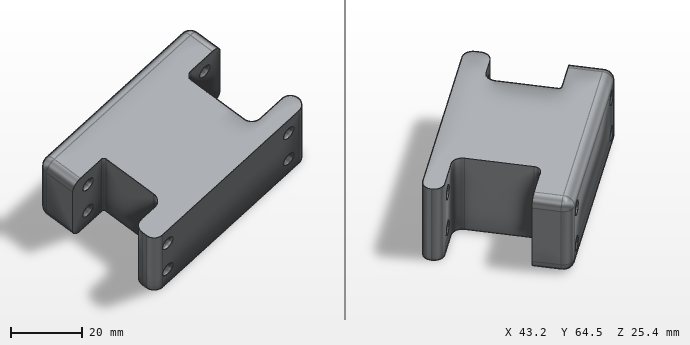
import cadquery as cq

depth = 43.15
length = 64.5
height = 25.4

plate_end = 63.55
flange_start = 1.05

low_plate_thickness = 13.1
low_flange_thickness = 8.0
low_floor = 13.0
low_plate_corner_radius = 0.85

high_plate_thickness = 11.55
high_flange_thickness = 6.3
high_floor = 49.05
high_plate_corner_radius = 2.2

round_radius = 3.2
high_tip_radius = 3.1

hole_diameter = 4.4
hole_spacing_y = 50.7
hole_spacing_z = height / 2


def prism(outline):
    """Extrude an XY outline over the full height, centred on Z = 0."""
    return outline.extrude(height / 2, both=True)


def box(x_start, x_end, y_start, y_end):
    width = x_end - x_start
    span = y_end - y_start
    return prism(cq.Workplane("XY").center(x_start, y_start).rect(width, span, centered=False))


def round_upright_edge(body, x, y, radius):
    """Fillet the vertical edge that passes through (x, y)."""
    edge = cq.selectors.NearestToPointSelector((x, y, 0))
    return body.edges("|Z").edges(edge).fillet(radius)


def make_plate():
    """Front plate, rounded around its outer face and along its ends."""
    thickest = max(low_plate_thickness, high_plate_thickness)
    plate = box(0, thickest, 0, plate_end)
    plate = plate.edges("<X or |X").fillet(round_radius)
    step = box(high_plate_thickness, thickest, high_floor, plate_end)
    return plate.cut(step)


def make_web_and_flange():
    """Web between the notches joined to the back flange, with rounded corners."""
    web_x = round_radius
    low_x = depth - low_flange_thickness
    high_x = depth - high_flange_thickness
    outline = (
        cq.Workplane("XY")
        .moveTo(web_x, low_floor)
        .lineTo(low_x, low_floor)
        .lineTo(low_x, flange_start)
        .lineTo(depth, flange_start)
        .lineTo(depth, length)
        .lineTo(high_x, length)
        .lineTo(high_x, high_floor)
        .lineTo(web_x, high_floor)
        .close()
    )
    body = prism(outline)
    for x, y, radius in (
        (low_x, low_floor, round_radius),
        (low_x, flange_start, round_radius),
        (depth, flange_start, round_radius),
        (high_x, high_floor, round_radius),
        (high_x, length, high_tip_radius),
        (depth, length, high_tip_radius),
    ):
        body = round_upright_edge(body, x, y, radius)
    return body


def make_holes():
    """Four bores along X through both the plate and the flange."""
    return (
        cq.Workplane("YZ")
        .center(plate_end / 2, 0)
        .rect(hole_spacing_y, hole_spacing_z, forConstruction=True)
        .vertices()
        .circle(hole_diameter / 2)
        .extrude(depth)
    )


body = make_plate().union(make_web_and_flange())
body = round_upright_edge(body, low_plate_thickness, low_floor, low_plate_corner_radius)
body = round_upright_edge(body, high_plate_thickness, high_floor, high_plate_corner_radius)
result = body.cut(make_holes())